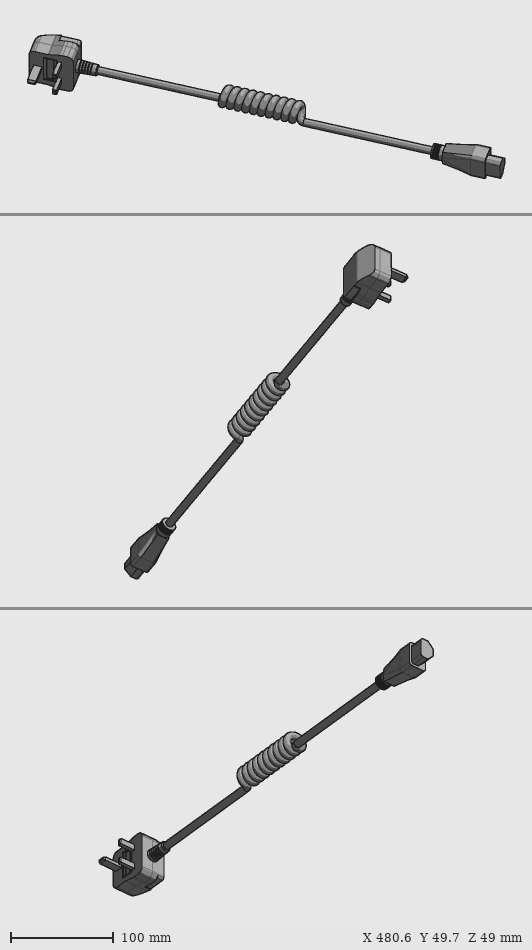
import cadquery as cq
import math


PLUG_LENGTH = 45.2
PLUG_RELIEF_START = PLUG_LENGTH - 1.0
PLUG_RELIEF_END = 66.5
LEFT_CABLE_END = 190.3
CONNECTOR_START = 409.6
CONNECTOR_TAPER_START = 421.3
CONNECTOR_TAPER_END = 451.0
CONNECTOR_BLOCK_END = 465.6
CORD_END = 480.56

CABLE_RADIUS = 3.9
COIL_AXIS_Y = 9.45
COIL_RADIUS = 7.95
COIL_PITCH = 7.95
COIL_TURNS = 10
BEND_RADIUS = 4.4
BEND_ANGLE = 90 - math.degrees(math.atan2(COIL_PITCH, 2 * math.pi * COIL_RADIUS))
BEND_LENGTH = BEND_RADIUS * math.sin(math.radians(BEND_ANGLE))
BEND_OFFSET = BEND_RADIUS * (1 - math.cos(math.radians(BEND_ANGLE)))
COIL_LENGTH = COIL_TURNS * COIL_PITCH
LEFT_CABLE_Y = COIL_AXIS_Y + BEND_OFFSET
RIGHT_CABLE_Y = COIL_AXIS_Y - BEND_OFFSET
RIGHT_CABLE_START = LEFT_CABLE_END + 2 * BEND_LENGTH + COIL_LENGTH

OVERALL_DEPTH = 49.73
PLUG_HEIGHT = 49.0
PLUG_NARROW_HEIGHT = 43.4
PLUG_DEPTH = 27.4
PLUG_PARTING_Y = 13.0
FLARE_START_X = 19.6
FLARE_END_X = 32.4
FLARE_BLEND_RADIUS = 15.0
PLUG_DRAFT = 0.5
PLUG_CORNER_RADIUS = 6.0
SLOPE_FRONT_Y = 18.6
SLOPE_MIDDLE = (8.0, 23.4)
GRIP_START_X = 24.6
GRIP_FLOOR_Y = 20.0
GRIP_CORNER_RADIUS = 3.0

FUSE_CENTER_X = 21.3
FUSE_RECESS_WIDTH = 13.4
FUSE_RECESS_HEIGHT = 30.4
FUSE_SLOT_WIDTH = 7.2
FUSE_SLOT_HEIGHT = 28.0
FUSE_STEP_DEPTH = 1.0

EARTH_PIN_X = 8.9
EARTH_PIN_LENGTH = OVERALL_DEPTH - PLUG_DEPTH
EARTH_PIN_SIZE = (8.4, 4.0)
EARTH_TIP_LENGTH = 2.4
EARTH_TIP_INSET = 1.2
PIN_SPACING = 22.3
POWER_PIN_X = EARTH_PIN_X + PIN_SPACING
POWER_PIN_Z = 11.1
POWER_PIN_LENGTH = 17.7
POWER_PIN_SIZE = (4.2, 6.35)
POWER_TIP_CHAMFER = 1.0

PLUG_RELIEF_BASE_RADIUS = 6.7
PLUG_RELIEF_TIP_RADIUS = 5.5
PLUG_RELIEF_TIP_CHAMFER = 1.0
PLUG_RELIEF_GROOVES = 5
PLUG_RELIEF_GROOVE_PITCH = 2.9
PLUG_RELIEF_FIRST_GROOVE = PLUG_LENGTH + 3.0
PLUG_GROOVE_WIDTH = 0.7
CONNECTOR_RELIEF_RADIUS = 7.6
CONNECTOR_RELIEF_GROOVES = 3
CONNECTOR_RELIEF_GROOVE_PITCH = 2.3
CONNECTOR_RELIEF_FIRST_GROOVE = CONNECTOR_START + 1.6
CONNECTOR_GROOVE_WIDTH = 1.3
GROOVE_DEPTH = 0.9

BLOCK_DEPTH = 20.2
BLOCK_HEIGHT = 27.4
BLOCK_EDGE_RADIUS = 3.0
TAPER_DEPTH = 14.6
TAPER_HEIGHT = 16.0
TAPER_FLAT_DEPTH = 12.4
TAPER_FLAT_HEIGHT = 2.0
HEAD_DEPTH = 15.6
HEAD_HEIGHT = 21.8
HEAD_BEVEL = 7.0
HEAD_EDGE_RADIUS = 3.0


def cylinder_x(start_x, end_x, y, radius):
    """Round bar along X at height Z = 0."""
    return cq.Workplane("YZ", origin=(start_x, y, 0)).circle(radius).extrude(end_x - start_x)


def cut_grooves(body, first_x, pitch, count, width, y, core_radius, outer_radius):
    """Cut evenly spaced ring grooves into a round strain relief."""
    for index in range(count):
        start_x = first_x + index * pitch
        ring = cylinder_x(start_x, start_x + width, y, outer_radius)
        ring = ring.cut(cylinder_x(start_x, start_x + width, y, core_radius))
        body = body.cut(ring)
    return body


def plug_slab(depth):
    """Flared, rounded plug outline extruded with draft from the parting plane (+Y for positive depth)."""
    narrow = PLUG_NARROW_HEIGHT / 2
    wide = PLUG_HEIGHT / 2
    upper = [(0, narrow), (FLARE_START_X, narrow), (FLARE_END_X, wide), (PLUG_LENGTH, wide)]
    lower = [(x, -z) for x, z in reversed(upper)]
    corners = [cq.Vector(x, z) for x, z in upper + lower]
    outline = cq.Sketch().face(cq.Wire.makePolygon(corners, close=True))
    outline = outline.vertices("<X or >X").fillet(PLUG_CORNER_RADIUS).reset()
    flare_ends = cq.selectors.BoxSelector(
        (FLARE_START_X + 1, -PLUG_HEIGHT, -1), (PLUG_LENGTH - PLUG_CORNER_RADIUS - 1, PLUG_HEIGHT, 1)
    )
    outline = outline.vertices(flare_ends).fillet(FLARE_BLEND_RADIUS).reset()
    parting = cq.Workplane("XZ", origin=(0, PLUG_PARTING_Y, 0))
    return parting.placeSketch(outline).extrude(-depth, taper=PLUG_DRAFT)


def back_envelope():
    """Side profile of the plug with its back curving up from the free end."""
    profile = (
        cq.Workplane("XY", origin=(0, 0, -PLUG_HEIGHT))
        .lineTo(0, SLOPE_FRONT_Y)
        .threePointArc(SLOPE_MIDDLE, (FLARE_START_X, PLUG_DEPTH))
        .lineTo(PLUG_LENGTH, PLUG_DEPTH)
        .lineTo(PLUG_LENGTH, 0)
        .close()
    )
    return profile.extrude(2 * PLUG_HEIGHT)


def finger_grips():
    """Material removed beside the back, leaving a narrower grip."""
    length = PLUG_LENGTH - GRIP_START_X
    center = (GRIP_START_X + length / 2, GRIP_FLOOR_Y + PLUG_DEPTH / 2, 0)
    zone = cq.Workplane("XY", origin=center).box(length, PLUG_DEPTH, PLUG_HEIGHT)
    kept = cq.Workplane("XY", origin=center).box(length, PLUG_DEPTH, PLUG_NARROW_HEIGHT)
    kept = kept.edges("|Y and >X").fillet(GRIP_CORNER_RADIUS)
    return zone.cut(kept)


def pin(x, z, length, size, tip_length, tip_inset):
    """Rectangular pin from the plug face towards -Y with a bevelled tip."""
    shank_length = length - tip_length
    tip_angle = math.degrees(math.atan2(tip_inset, tip_length))
    shank = cq.Workplane("XZ", origin=(x, 0, z)).rect(*size).extrude(shank_length)
    tip = cq.Workplane("XZ", origin=(x, -shank_length, z)).rect(*size).extrude(tip_length, taper=tip_angle)
    return shank.union(tip)


def face_pocket(width, height, depth):
    """Block that sinks a rectangular pocket into the plug face."""
    return cq.Workplane("XY", origin=(FUSE_CENTER_X, depth / 2, 0)).box(width, depth, height)


def plug_relief():
    """Conical grooved sleeve around the cable where it leaves the plug."""
    length = PLUG_RELIEF_END - PLUG_RELIEF_START
    sleeve = (
        cq.Workplane("YZ", origin=(PLUG_RELIEF_START, LEFT_CABLE_Y, 0))
        .circle(PLUG_RELIEF_BASE_RADIUS)
        .workplane(offset=length)
        .circle(PLUG_RELIEF_TIP_RADIUS)
        .loft()
    )
    sleeve = sleeve.faces(">X").chamfer(PLUG_RELIEF_TIP_CHAMFER)
    return cut_grooves(
        sleeve,
        PLUG_RELIEF_FIRST_GROOVE,
        PLUG_RELIEF_GROOVE_PITCH,
        PLUG_RELIEF_GROOVES,
        PLUG_GROOVE_WIDTH,
        LEFT_CABLE_Y,
        PLUG_RELIEF_TIP_RADIUS - GROOVE_DEPTH,
        2 * PLUG_RELIEF_BASE_RADIUS,
    )


def make_plug():
    base = plug_slab(-PLUG_PARTING_Y)
    cover = plug_slab(PLUG_DEPTH - PLUG_PARTING_Y).intersect(back_envelope()).cut(finger_grips())
    body = base.union(cover)
    body = body.cut(face_pocket(FUSE_RECESS_WIDTH, FUSE_RECESS_HEIGHT, FUSE_STEP_DEPTH))
    body = body.cut(face_pocket(FUSE_SLOT_WIDTH, FUSE_SLOT_HEIGHT, 2 * FUSE_STEP_DEPTH))
    body = body.union(
        pin(EARTH_PIN_X, 0, EARTH_PIN_LENGTH, EARTH_PIN_SIZE, EARTH_TIP_LENGTH, EARTH_TIP_INSET)
    )
    for z in (-POWER_PIN_Z, POWER_PIN_Z):
        body = body.union(
            pin(POWER_PIN_X, z, POWER_PIN_LENGTH, POWER_PIN_SIZE, POWER_TIP_CHAMFER, POWER_TIP_CHAMFER)
        )
    return body.union(plug_relief())


def left_bend():
    """Elbow leading from the left cable into the first turn."""
    section = cq.Workplane("YZ", origin=(LEFT_CABLE_END, LEFT_CABLE_Y, 0)).circle(CABLE_RADIUS)
    return section.revolve(BEND_ANGLE, (-BEND_RADIUS, 1, 0), (-BEND_RADIUS, 0, 0))


def make_coil():
    """Left-handed coil starting and ending at its lowest point, with an elbow at each end."""
    path = cq.Workplane(obj=cq.Wire.makeHelix(COIL_PITCH, COIL_LENGTH, COIL_RADIUS, lefthand=True))
    tangent = (0, -2 * math.pi * COIL_RADIUS, COIL_PITCH)
    start_plane = cq.Plane(origin=(COIL_RADIUS, 0, 0), xDir=(1, 0, 0), normal=tangent)
    turns = cq.Workplane(start_plane).circle(CABLE_RADIUS).sweep(path, isFrenet=True)
    turns = turns.rotate((0, 0, 0), (0, 1, 0), 90)
    turns = turns.translate((LEFT_CABLE_END + BEND_LENGTH, COIL_AXIS_Y, COIL_RADIUS))
    middle_x = (LEFT_CABLE_END + RIGHT_CABLE_START) / 2
    bend = left_bend()
    opposite_bend = bend.rotate((middle_x, COIL_AXIS_Y, 0), (middle_x, COIL_AXIS_Y, 1), 180)
    return turns.union(bend).union(opposite_bend)


def grip_section(x, depth, height, flat_depth, flat_height):
    """Cross-section whose corner arcs start tangent to the Y sides and end on the Z flats."""
    half_depth = depth / 2
    half_height = height / 2
    inset = (depth - flat_depth) / 2
    rise = (height - flat_height) / 2
    radius = (inset**2 + rise**2) / (2 * inset)
    half_sweep = math.asin(rise / radius) / 2
    middle_y = half_depth - radius * (1 - math.cos(half_sweep))
    middle_z = flat_height / 2 + radius * math.sin(half_sweep)
    return (
        cq.Workplane("YZ", origin=(x, RIGHT_CABLE_Y, 0))
        .moveTo(half_depth, -flat_height / 2)
        .lineTo(half_depth, flat_height / 2)
        .threePointArc((middle_y, middle_z), (flat_depth / 2, half_height))
        .lineTo(-flat_depth / 2, half_height)
        .threePointArc((-middle_y, middle_z), (-half_depth, flat_height / 2))
        .lineTo(-half_depth, -flat_height / 2)
        .threePointArc((-middle_y, -middle_z), (-flat_depth / 2, -half_height))
        .lineTo(flat_depth / 2, -half_height)
        .threePointArc((middle_y, -middle_z), (half_depth, -flat_height / 2))
        .close()
    )


def connector_grip():
    """Tapered grip that swells from a barrel-sided end to the rectangular block."""
    small = grip_section(
        CONNECTOR_TAPER_START, TAPER_DEPTH, TAPER_HEIGHT, TAPER_FLAT_DEPTH, TAPER_FLAT_HEIGHT
    )
    large = grip_section(
        CONNECTOR_TAPER_END,
        BLOCK_DEPTH,
        BLOCK_HEIGHT,
        BLOCK_DEPTH - 2 * BLOCK_EDGE_RADIUS,
        BLOCK_HEIGHT - 2 * BLOCK_EDGE_RADIUS,
    )
    taper = cq.Solid.makeLoft([small.val(), large.val()], True)
    block = large.extrude(CONNECTOR_BLOCK_END - CONNECTOR_TAPER_END)
    return block.union(cq.Workplane(taper))


def connector_head():
    """Plug-in nose with two bevelled corners on +Y and two rounded ones on -Y."""
    length = CORD_END - CONNECTOR_BLOCK_END
    center = (CONNECTOR_BLOCK_END + length / 2, RIGHT_CABLE_Y, 0)
    head = cq.Workplane("XY", origin=center).box(length, HEAD_DEPTH, HEAD_HEIGHT)
    head = head.edges("|X and >Y").chamfer(HEAD_BEVEL)
    return head.edges("|X and <Y").fillet(HEAD_EDGE_RADIUS)


def make_connector():
    relief = cut_grooves(
        cylinder_x(CONNECTOR_START, CONNECTOR_TAPER_START, RIGHT_CABLE_Y, CONNECTOR_RELIEF_RADIUS),
        CONNECTOR_RELIEF_FIRST_GROOVE,
        CONNECTOR_RELIEF_GROOVE_PITCH,
        CONNECTOR_RELIEF_GROOVES,
        CONNECTOR_GROOVE_WIDTH,
        RIGHT_CABLE_Y,
        CONNECTOR_RELIEF_RADIUS - GROOVE_DEPTH,
        2 * CONNECTOR_RELIEF_RADIUS,
    )
    return relief.union(connector_grip()).union(connector_head())


plug = make_plug()
left_cable = cylinder_x(PLUG_RELIEF_END, LEFT_CABLE_END, LEFT_CABLE_Y, CABLE_RADIUS)
coil = make_coil()
right_cable = cylinder_x(RIGHT_CABLE_START, CONNECTOR_START, RIGHT_CABLE_Y, CABLE_RADIUS)
connector = make_connector()

result = cq.Compound.makeCompound(
    [plug.val(), left_cable.val(), coil.val(), right_cable.val(), connector.val()]
)